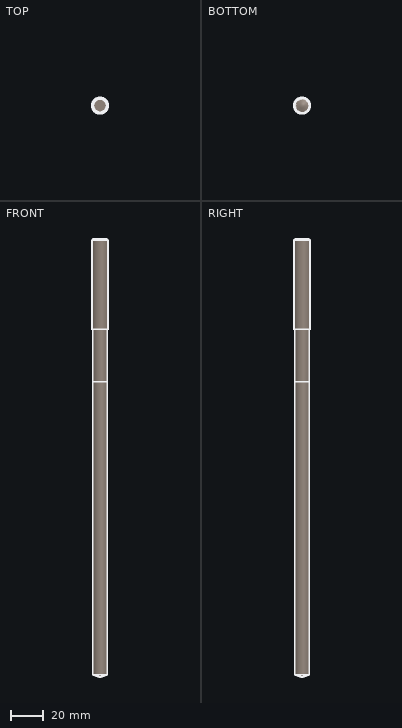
import cadquery as cq
import math

corner_to_shank_end = 265.0
shank_length = 55.0
neck_length = 32.0

shank_diameter = 10.0
drill_diameter = 8.9

point_angle = 140.0

chamfer_radial = 1.0
chamfer_axial = 1.0

shank_radius = shank_diameter / 2
drill_radius = drill_diameter / 2
point_height = drill_radius / math.tan(math.radians(point_angle / 2))
shank_start = corner_to_shank_end - shank_length
joint_level = shank_start - neck_length


def revolve_about_z(profile):
    """Turn (radius, height) points into a solid of revolution about the Z axis."""
    return cq.Workplane("XZ").polyline(profile).close().revolve(360, (0, 0), (0, 1))


def make_shank():
    """Clamping shank with a chamfered end, stepping down to the neck."""
    return revolve_about_z([
        (0, joint_level),
        (drill_radius, joint_level),
        (drill_radius, shank_start),
        (shank_radius, shank_start),
        (shank_radius, corner_to_shank_end - chamfer_axial),
        (shank_radius - chamfer_radial, corner_to_shank_end),
        (0, corner_to_shank_end),
    ])


def make_cutting_section():
    """Plain cylinder for the cutting length, ending in the conical point."""
    return revolve_about_z([
        (0, -point_height),
        (drill_radius, 0),
        (drill_radius, joint_level),
        (0, joint_level),
    ])


shank = make_shank()
cutting_section = make_cutting_section()

result = cq.Compound.makeCompound([shank.val(), cutting_section.val()])